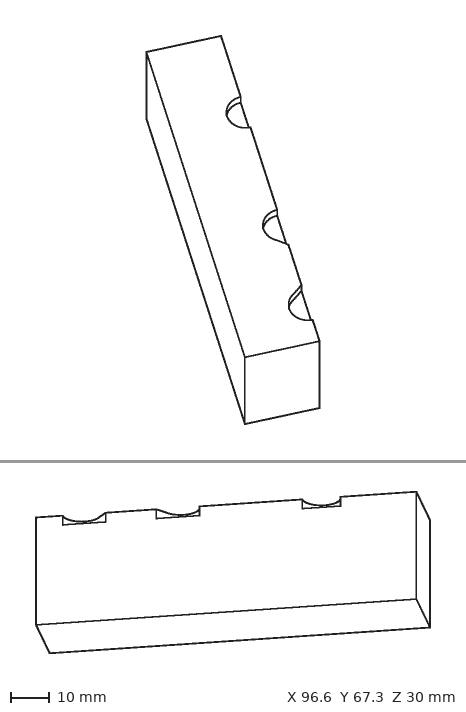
import cadquery as cq
import math

length = 100.0
width = 20.0
height = 30.0
turn_about_z = -30.0
back = width / 2

pocket_radius = 5.0
pocket_depth = 2.6
left_pocket = -25.0
middle_pocket = 12.0
right_pocket = 38.0

flare_start_angle = 30.0
flare_reach = 1.4
flares = [(middle_pocket, 1), (right_pocket, -1)]


def pocket_floor():
    return cq.Workplane("XY", origin=(0, 0, height - pocket_depth))


def make_block():
    return cq.Workplane("XY").box(length, width, height, centered=(True, True, False))


def make_pockets():
    """Round cutters; only the half inside the block removes material."""
    centers = [(position, back) for position in (left_pocket, middle_pocket, right_pocket)]
    return pocket_floor().pushPoints(centers).circle(pocket_radius).extrude(pocket_depth)


def make_flare(position, direction):
    """Triangular cutter from the pocket center to the flared wall."""
    angle = math.radians(flare_start_angle)
    wall_start = (
        position + direction * pocket_radius * math.cos(angle),
        back - pocket_radius * math.sin(angle),
    )
    mouth_end = (position + direction * (pocket_radius + flare_reach), back)
    outline = [(position, back), wall_start, mouth_end]
    return pocket_floor().polyline(outline).close().extrude(pocket_depth)


body = make_block().cut(make_pockets())
for pocket_position, flare_direction in flares:
    body = body.cut(make_flare(pocket_position, flare_direction))

result = body.rotate((0, 0, 0), (0, 0, 1), turn_about_z)